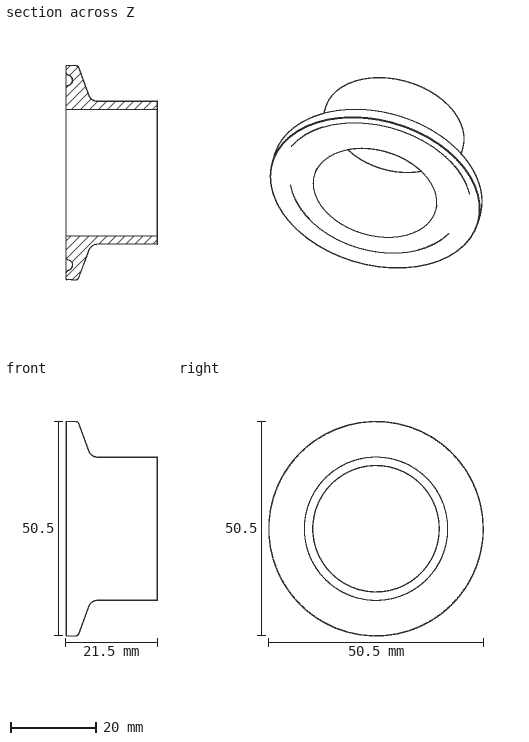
import cadquery as cq
import math

length = 21.5
flange_radius = 25.25
tube_radius = 16.85
bore_radius = 14.85

rim_width = 2.9
cone_angle = math.radians(20)
rim_fillet = 0.8
neck_fillet = 2.0
face_chamfer = 0.15

groove_middle_radius = 21.75
groove_half_width = 1.95
groove_floor_radius = 1.2
groove_lip_radius = 0.8
groove_wall_angle = math.radians(20)


def make_body():
    cone_length = (flange_radius - tube_radius) * math.tan(cone_angle)
    neck_x = rim_width + cone_length
    outline = [
        (0, 0),
        (0, flange_radius),
        (rim_width, flange_radius),
        (neck_x, tube_radius),
        (length, tube_radius),
        (length, 0),
    ]
    body = cq.Workplane("XY").polyline(outline).close().revolve(360, (0, 0, 0), (1, 0, 0))

    margin = 0.05

    def circle_edge(x, radius):
        return cq.selectors.BoxSelector(
            (x - margin, -radius - margin, -radius - margin),
            (x + margin, radius + margin, radius + margin),
            boundingbox=True,
        )

    body = body.edges(circle_edge(neck_x, tube_radius)).fillet(neck_fillet)
    body = body.edges(circle_edge(rim_width, flange_radius)).fillet(rim_fillet)
    return body.faces("<X").edges().chamfer(face_chamfer)


def make_groove():
    sine = math.sin(groove_wall_angle)
    cosine = math.cos(groove_wall_angle)

    arcs_width = (groove_lip_radius + groove_floor_radius) * cosine
    wall_length = (groove_half_width - arcs_width) / sine
    lip_end_x = groove_lip_radius * (1 - sine)
    lip_end_offset = groove_half_width - groove_lip_radius * cosine
    floor_start_x = lip_end_x + wall_length * cosine
    floor_start_offset = groove_floor_radius * cosine
    depth = floor_start_x + groove_floor_radius * (1 - sine)

    lip_mid_angle = (math.pi / 2 + groove_wall_angle) / 2
    lip_mid_x = groove_lip_radius * (1 - math.sin(lip_mid_angle))
    lip_mid_offset = groove_half_width - groove_lip_radius * math.cos(lip_mid_angle)

    def point(x, offset):
        return (x, groove_middle_radius + offset)

    return (
        cq.Workplane("XY")
        .moveTo(*point(0, -groove_half_width))
        .threePointArc(point(lip_mid_x, -lip_mid_offset), point(lip_end_x, -lip_end_offset))
        .lineTo(*point(floor_start_x, -floor_start_offset))
        .threePointArc(point(depth, 0), point(floor_start_x, floor_start_offset))
        .lineTo(*point(lip_end_x, lip_end_offset))
        .threePointArc(point(lip_mid_x, lip_mid_offset), point(0, groove_half_width))
        .close()
        .revolve(360, (0, 0, 0), (1, 0, 0))
    )


def make_bore():
    return cq.Workplane("YZ").circle(bore_radius).extrude(length)


result = make_body().cut(make_groove()).cut(make_bore())